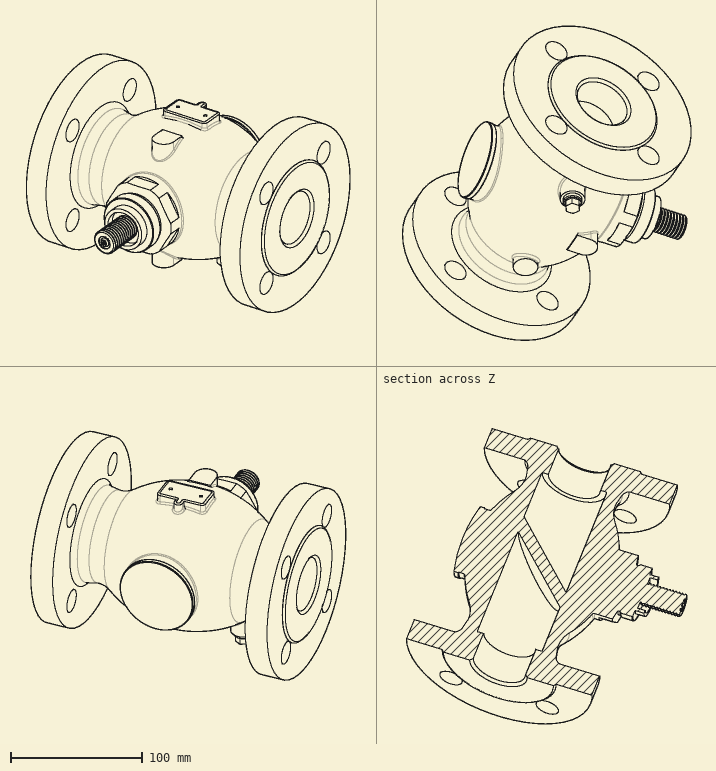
import cadquery as cq
import math

half_length = 100.0

flange_radius = 75.0
flange_outer_x = 98.2
flange_inner_x = 80.0
raised_face_radius = 46.0
raised_face_chamfer = 1.5
bolt_circle_radius = 55.0
bolt_hole_radius = 9.0
bolt_count = 4

body_radius = 57.0
body_arc_radius = 91.0
waist_radius = 36.5
waist_arc_radius = 23.0
waist_end_x = 66.5
neck_end_x = 75.5
neck_end_radius = 38.2
flange_root_radius = 42.2

bore_radius = 21.0
bore_chamfer = 2.2
bore_depth = 26.0
chamber_radius = 26.0
septum_thickness = 10.0
septum_angle = 45.0

boss_radius = 29.8
nut_start = 56.2
nut_end = 67.5
nut_flats = 55.5
nut_cone_end = 68.8
groove_radius = 21.5
collar_start = 70.5
collar_radius = 22.8
collar_chamfer = 0.5
collar_end = 81.2
sleeve_radius = 17.0
sleeve_recess_radius = 14.0
sleeve_recess_depth = 6.0
sleeve_end = 88.5
thread_radius = 9.5
thread_root_radius = 8.5
thread_pitch = 2.5
thread_count = 12
stem_end = 114.2
tip_radius = 3.5
tip_chamfer = 1.2
tip_hole_radius = 1.2
tip_recess_radius = 5.2
tip_recess_depth = 1.0
tip_end = 114.5

cover_neck_end = 56.5
cover_rim_radius = 30.5
cover_rim_start = 57.2
cover_rim_end = 60.8
cover_crown = 64.2

lug_radius = 9.0
lug_center_y = -33.0
lug_back_y = -21.5
lug_top = 53.5

plate_length = 39.5
plate_width = 22.0
plate_center_y = 4.5
plate_corner_radius = 3.0
plate_top = 60.5
plate_edge_height = 0.5
plate_edge_inset = 1.8
tab_radius = 3.5
tab_center_y = 18.8
pin_hole_radius = 1.2
pin_hole_depth = 1.2
pin_hole_x = 12.5

drain_radius = 9.5
drain_bottom = 56.0
plugged_drain_x = -45.5
plain_drain_x = 37.5
plug_collar_radius = 7.2
plug_collar_end = 59.5
plug_collar_chamfer = 0.8
plug_hex_flats = 10.0
plug_end = 65.5

boss_fillet = 1.2
lug_fillet = 1.2
plate_fillet = 1.5
drain_fillet = 1.5
seam_tolerance = 0.0002


def cylinder_x(radius, start, end):
    return cq.Workplane("YZ").workplane(offset=start).circle(radius).extrude(end - start)


def spun_about_y(points):
    """Turned piece from (radius, y) points, closed along the Y axis."""
    return cq.Workplane("XY").polyline(points).close().revolve(360, (0, 0), (0, 1))


def make_shell():
    """Barrel-shaped body with concave waists and conical necks."""
    body_arc_y = body_radius - body_arc_radius
    waist_arc_y = waist_radius + waist_arc_radius
    center_distance = body_arc_radius + waist_arc_radius
    waist_x = math.sqrt(center_distance**2 - (waist_arc_y - body_arc_y) ** 2)

    share = body_arc_radius / center_distance
    blend_x = waist_x * share
    blend_radius = body_arc_y + (waist_arc_y - body_arc_y) * share

    def waist_point(x):
        return x, waist_arc_y - math.sqrt(waist_arc_radius**2 - (x - waist_x) ** 2)

    def mirrored(point):
        return -point[0], point[1]

    waist_middle = waist_point((blend_x + waist_end_x) / 2)
    waist_end = waist_point(waist_end_x)
    neck_end = (neck_end_x, neck_end_radius)
    root = (flange_inner_x, flange_root_radius)
    root_sag = 0.5
    root_middle = (
        (neck_end_x + flange_inner_x) / 2 + root_sag,
        (neck_end_radius + flange_root_radius) / 2 - root_sag,
    )
    return (
        cq.Workplane("XY")
        .moveTo(-flange_inner_x, 0)
        .lineTo(*mirrored(root))
        .threePointArc(mirrored(root_middle), mirrored(neck_end))
        .lineTo(*mirrored(waist_end))
        .threePointArc(mirrored(waist_middle), (-blend_x, blend_radius))
        .threePointArc((0, body_radius), (blend_x, blend_radius))
        .threePointArc(waist_middle, waist_end)
        .lineTo(*neck_end)
        .threePointArc(root_middle, root)
        .lineTo(flange_inner_x, 0)
        .close()
        .revolve(360, (0, 0), (1, 0))
    )


def make_flange():
    """Flange on the +X end, with raised face and bolt holes."""
    disc = cylinder_x(flange_radius, flange_inner_x, flange_outer_x)
    face = cylinder_x(raised_face_radius, flange_outer_x, half_length)
    face = face.faces(">X").edges().chamfer(raised_face_chamfer)
    holes = (
        cq.Workplane("YZ")
        .workplane(offset=flange_inner_x)
        .polarArray(bolt_circle_radius, 180 / bolt_count, 360, bolt_count)
        .circle(bolt_hole_radius)
        .extrude(half_length - flange_inner_x)
    )
    return disc.union(face).cut(holes)


def make_boss():
    """Round boss through the body, carrying the nut and the cover."""
    return (
        cq.Workplane("XZ")
        .workplane(offset=-cover_neck_end)
        .circle(boss_radius)
        .extrude(cover_neck_end + nut_start)
    )


def make_lug():
    """Round-fronted lug with a flat top and a flat back."""
    return (
        cq.Workplane("XY")
        .moveTo(-lug_radius, lug_back_y)
        .lineTo(-lug_radius, lug_center_y)
        .threePointArc((0, lug_center_y - lug_radius), (lug_radius, lug_center_y))
        .lineTo(lug_radius, lug_back_y)
        .close()
        .extrude(lug_top)
    )


def plate_outline(height):
    return (
        cq.Workplane("XY")
        .workplane(offset=height)
        .sketch()
        .push([(0, plate_center_y)])
        .rect(plate_length, plate_width)
        .reset()
        .vertices()
        .fillet(plate_corner_radius)
        .reset()
        .push([(0, tab_center_y - tab_radius)])
        .rect(2 * tab_radius, 2 * tab_radius)
        .reset()
        .push([(0, tab_center_y)])
        .circle(tab_radius)
        .reset()
        .clean()
        .finalize()
    )


def make_plate():
    edge_start = plate_top - plate_edge_height
    edge_taper = math.degrees(math.atan2(plate_edge_inset, plate_edge_height))
    base = plate_outline(0).extrude(edge_start)
    cap = plate_outline(edge_start).extrude(plate_edge_height, taper=edge_taper)
    return base.union(cap)


def make_drain(x):
    return cq.Workplane("XY").center(x, 0).circle(drain_radius).extrude(-drain_bottom)


def make_drain_plug():
    collar = (
        cq.Workplane("XY")
        .workplane(offset=-drain_bottom)
        .center(plugged_drain_x, 0)
        .circle(plug_collar_radius)
        .extrude(drain_bottom - plug_collar_end)
        .faces("<Z")
        .edges()
        .chamfer(plug_collar_chamfer)
    )
    across_corners = plug_hex_flats / math.cos(math.pi / 6)
    head = (
        cq.Workplane("XY")
        .workplane(offset=-drain_bottom)
        .center(plugged_drain_x, 0)
        .transformed(rotate=(0, 0, 30))
        .polygon(6, across_corners)
        .extrude(drain_bottom - plug_end)
    )
    return collar.union(head)


def make_nut():
    """Hexagon with its corners turned down, coned at the outer end."""
    across_corners = nut_flats / math.cos(math.pi / 6)
    hexagon = (
        cq.Workplane("XZ")
        .workplane(offset=nut_start)
        .polygon(6, across_corners)
        .extrude(nut_cone_end - nut_start)
    )
    turned = spun_about_y([
        (0, -nut_start),
        (boss_radius, -nut_start),
        (boss_radius, -nut_end),
        (groove_radius, -nut_cone_end),
        (0, -nut_cone_end),
    ])
    return hexagon.intersect(turned)


def make_gland():
    """Grooved collar and recessed sleeve around the stem."""
    recess_floor = sleeve_end - sleeve_recess_depth
    return spun_about_y([
        (0, -nut_end),
        (groove_radius, -nut_end),
        (groove_radius, -collar_start),
        (collar_radius, -collar_start - 2 * collar_chamfer),
        (collar_radius, -collar_end + collar_chamfer),
        (collar_radius - collar_chamfer, -collar_end),
        (sleeve_radius, -collar_end),
        (sleeve_radius, -sleeve_end),
        (sleeve_recess_radius, -sleeve_end),
        (sleeve_recess_radius, -recess_floor),
        (0, -recess_floor),
    ])


def make_stem():
    """Stem with ring-shaped thread crests and a centred tip in a shallow end recess."""
    recess_floor = stem_end - tip_recess_depth
    thread_start = stem_end - thread_count * thread_pitch
    points = [(0, -collar_start), (thread_root_radius, -collar_start)]
    for turn in range(thread_count):
        crest_start = thread_start + turn * thread_pitch
        points += [
            (thread_root_radius, -crest_start),
            (thread_radius, -crest_start - 0.4 * thread_pitch),
            (thread_radius, -crest_start - 0.6 * thread_pitch),
        ]
    points += [
        (thread_root_radius, -stem_end),
        (tip_recess_radius, -stem_end),
        (tip_recess_radius, -recess_floor),
        (tip_radius, -recess_floor),
        (tip_radius, -tip_end + tip_chamfer),
        (tip_radius - tip_chamfer, -tip_end),
        (tip_hole_radius, -tip_end),
        (tip_hole_radius, -recess_floor),
        (0, -recess_floor),
    ]
    return spun_about_y(points)


def make_cover():
    """Rimmed cover with a shallow domed crown."""
    dome_sphere_radius = (boss_radius**2 + (cover_crown - cover_rim_end) ** 2) / (
        2 * (cover_crown - cover_rim_end)
    )
    middle_radius = boss_radius / 2
    middle_y = cover_crown - dome_sphere_radius + math.sqrt(dome_sphere_radius**2 - middle_radius**2)
    return (
        cq.Workplane("XY")
        .moveTo(0, cover_neck_end)
        .lineTo(boss_radius, cover_neck_end)
        .lineTo(cover_rim_radius, cover_rim_start)
        .lineTo(cover_rim_radius, cover_rim_end - (cover_rim_radius - boss_radius))
        .lineTo(boss_radius, cover_rim_end)
        .threePointArc((middle_radius, middle_y), (0, cover_crown))
        .close()
        .revolve(360, (0, 0), (0, 1))
    )


def make_inlet():
    """Passage from the -X end up to the slanting septum."""
    chamber_start = -half_length + bore_depth
    chamber = cylinder_x(chamber_radius, chamber_start, chamber_radius)
    reach = 2 * half_length
    inlet_side = (
        cq.Workplane("XY")
        .box(reach, reach, reach, centered=(True, False, True))
        .translate((0, septum_thickness / 2, 0))
        .rotate((0, 0, 0), (0, 0, 1), septum_angle)
    )
    bore = cylinder_x(bore_radius, -half_length, chamber_start)
    mouth = (
        cq.Workplane("YZ")
        .workplane(offset=-half_length)
        .circle(bore_radius + bore_chamfer)
        .workplane(offset=bore_chamfer)
        .circle(bore_radius)
        .loft()
    )
    return bore.union(mouth).union(chamber.intersect(inlet_side))


shell = make_shell()


def blended(body, feature, fillet, seam_end_y=half_length):
    """Join a feature and fillet its seam with the barrel, up to seam_end_y."""
    joined = body.union(feature)

    def is_seam(edge):
        middle = edge.positionAt(0.5)
        probe = cq.Vertex.makeVertex(*middle.toTuple())
        gap = max(shell.val().distance(probe), feature.val().distance(probe))
        return gap < seam_tolerance and middle.y < seam_end_y

    seam = [edge for edge in joined.edges().vals() if is_seam(edge)]
    return joined.newObject(seam).fillet(fillet)


body = blended(shell, make_boss(), boss_fillet)

upper_lug = make_lug()
for lug in (upper_lug, upper_lug.mirror("XY")):
    body = blended(body, lug, lug_fillet, lug_back_y - lug_fillet)

body = blended(body, make_plate(), plate_fillet)

for drain_x in (plugged_drain_x, plain_drain_x):
    body = blended(body, make_drain(drain_x), drain_fillet)

flange = make_flange()
body = body.union(flange).union(flange.mirror("YZ"))

for turned_part in (make_nut(), make_gland(), make_stem(), make_cover(), make_drain_plug()):
    body = body.union(turned_part)

pin_holes = (
    cq.Workplane("XY")
    .workplane(offset=plate_top)
    .pushPoints([(-pin_hole_x, plate_center_y), (pin_hole_x, plate_center_y)])
    .circle(pin_hole_radius)
    .extrude(-pin_hole_depth)
)
body = body.cut(pin_holes)

inlet = make_inlet()
outlet = inlet.rotate((0, 0, 0), (0, 0, 1), 180)
result = body.cut(inlet).cut(outlet)